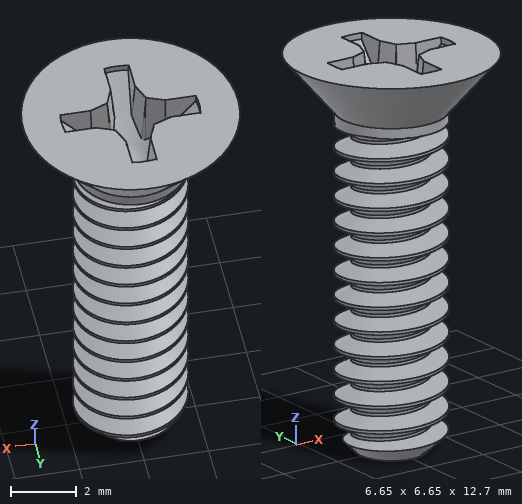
import cadquery as cq
import math


overall_length = 12.7
head_diameter = 6.65
head_height = 1.82
collar_height = 0.33

major_diameter = 3.505
mm_per_inch = 25.4
threads_per_inch = 32
pitch = mm_per_inch / threads_per_inch
flank_half_angle = math.radians(30)
crest_flat = pitch / 8
root_flat = pitch / 8
tip_diameter = 2.25
groove_clearance = 0.05

recess_diameter = 4.26
wing_width = 0.76
wing_root_distance = 1.16
inner_corner_offset = 0.60
recess_wall_taper = 6
wing_end_depth = 0.2
recess_depth = 2.3

cutter_margin = 0.1

head_radius = head_diameter / 2
major_radius = major_diameter / 2
tip_radius = tip_diameter / 2
head_base_z = overall_length - head_height
collar_base_z = head_base_z - collar_height
thread_depth = (pitch - crest_flat - root_flat) / (2 * math.tan(flank_half_angle))
root_radius = major_radius - thread_depth


def revolve_about_z(points):
    """Solid of revolution from (radius, z) points, with its seam on the -Y side."""
    profile = cq.Workplane("XZ").polyline(points).close()
    return profile.revolve(360, (0, 0), (0, 1)).rotate((0, 0, 0), (0, 0, 1), -90)


def make_head():
    """Countersunk head with the plain collar below it."""
    return revolve_about_z([
        (0, collar_base_z),
        (major_radius, collar_base_z),
        (major_radius, head_base_z),
        (head_radius, overall_length),
        (0, overall_length),
    ])


def make_shank():
    """Plain cylinder at the major diameter."""
    return revolve_about_z([
        (0, 0),
        (major_radius, 0),
        (major_radius, collar_base_z),
        (0, collar_base_z),
    ])


def make_thread_groove():
    """Right-hand helical groove, open past both ends of the shank.

    The groove is centred on the collar underside at +X.
    """
    turns = math.ceil(collar_base_z / pitch) + 2
    length = turns * pitch
    start_z = collar_base_z + pitch - length
    outer_radius = major_radius + groove_clearance
    root_half_width = root_flat / 2
    outer_half_width = (pitch - crest_flat) / 2 + groove_clearance * math.tan(flank_half_angle)
    helix = cq.Wire.makeHelix(pitch, length, root_radius)
    groove = (
        cq.Workplane("XZ")
        .polyline([
            (root_radius, -root_half_width),
            (root_radius, root_half_width),
            (outer_radius, outer_half_width),
            (outer_radius, -outer_half_width),
        ])
        .close()
        .sweep(cq.Workplane(helix), isFrenet=True)
    )
    return groove.translate((0, 0, start_z))


def make_tip_cutter():
    """Ring that leaves a 45 degree cone at the tip."""
    outer_radius = major_radius + cutter_margin
    return revolve_about_z([
        (tip_radius - cutter_margin, -cutter_margin),
        (outer_radius, -cutter_margin),
        (outer_radius, outer_radius - tip_radius),
    ])


def make_recess():
    """Cross with tapered walls, bounded by a short cylinder that runs into a conical floor."""
    half_width = wing_width / 2
    cross_depth = recess_depth + cutter_margin
    wing_reach = recess_diameter / 2 + cross_depth * math.tan(math.radians(recess_wall_taper))
    quarter = [
        (wing_reach, -half_width),
        (wing_reach, half_width),
        (wing_root_distance, half_width),
        (inner_corner_offset, inner_corner_offset),
        (half_width, wing_root_distance),
    ]
    outline = []
    for turn in range(4):
        angle = turn * math.pi / 2
        for x, y in quarter:
            turned_x = x * math.cos(angle) - y * math.sin(angle)
            turned_y = x * math.sin(angle) + y * math.cos(angle)
            outline.append((turned_x, turned_y))
    cross = (
        cq.Workplane("XY", origin=(0, 0, overall_length))
        .polyline(outline)
        .close()
        .extrude(-cross_depth, taper=recess_wall_taper)
    )
    envelope = revolve_about_z([
        (0, overall_length - recess_depth),
        (recess_diameter / 2, overall_length - wing_end_depth),
        (recess_diameter / 2, overall_length),
        (0, overall_length),
    ])
    return cross.intersect(envelope)


threaded_shank = make_shank().cut(make_thread_groove()).cut(make_tip_cutter())
result = threaded_shank.union(make_head()).cut(make_recess())